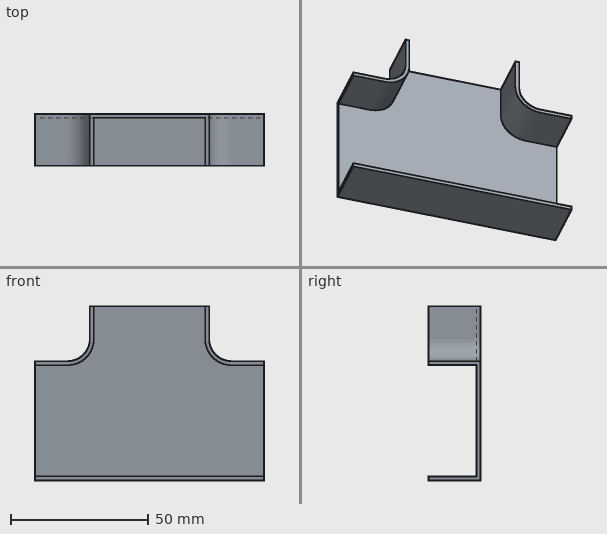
import cadquery as cq

duct_width = 43.6
arm_reach = 20.0
depth = 19.0
wall = 1.5
bend_radius = 8.0

run_length = duct_width + 2 * arm_reach
total_height = duct_width + arm_reach
inner_width = duct_width - 2 * wall
inner_bend_radius = bend_radius + wall
channel_depth = depth - wall


def tee_prism(width, bottom, corner_radius, thickness):
    """Tee-shaped prism extruded from Y = 0 towards -Y.

    The run lies along X with its lower face at Z = bottom. The branch rises
    from it to the full height, and both corners between them are rounded.
    """
    profile = (
        cq.Workplane("XZ")
        .moveTo(-run_length / 2, bottom)
        .hLine(run_length)
        .vLine(width)
        .hLineTo(width / 2)
        .vLineTo(total_height)
        .hLine(-width)
        .vLineTo(bottom + width)
        .hLineTo(-run_length / 2)
        .close()
    )
    corners = cq.selectors.BoxSelector(
        (-width / 2 - wall, -thickness, bottom + width - wall),
        (width / 2 + wall, 0, bottom + width + wall),
    )
    return profile.extrude(thickness).edges("|Y").edges(corners).fillet(corner_radius)


outer = tee_prism(duct_width, 0, bend_radius, depth)
channel = tee_prism(inner_width, wall, inner_bend_radius, channel_depth)

result = outer.cut(channel.translate((0, -wall, 0)))